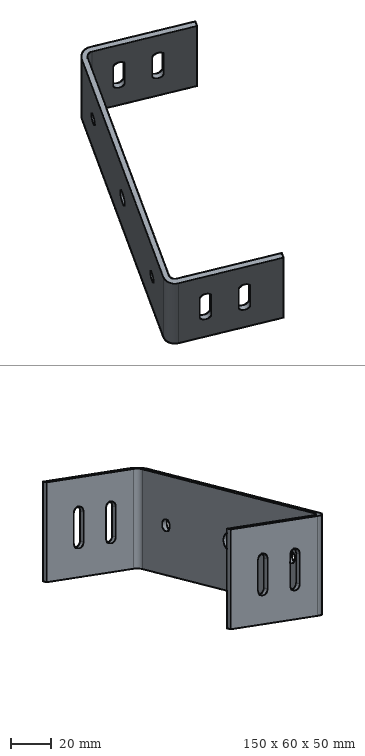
import cadquery as cq

length = 150.0
depth = 60.0
height = length / 3
thickness = 3.0
inner_bend_radius = 3.0
outer_bend_radius = inner_bend_radius + thickness

center_hole_diameter = 8.0
side_hole_diameter = 6.0
side_hole_offset = length / 3

slot_width = 6.0
slot_length = 21.0
slot_pitch = depth / 3
slot_count = 2


def bent_channel():
    """Web on the -Y side with a flange at each end, rounded at the bends."""
    outer = (
        cq.Workplane("XY")
        .box(length, depth, height, centered=(True, False, True))
        .edges("|Z and <Y")
        .fillet(outer_bend_radius)
    )
    inner = (
        cq.Workplane("XY")
        .box(length - 2 * thickness, depth, height, centered=(True, False, True))
        .edges("|Z and <Y")
        .fillet(inner_bend_radius)
        .translate((0, thickness, 0))
    )
    return outer.cut(inner)


def web_hole(x, diameter):
    """Cutter along Y through the web only."""
    return cq.Workplane("XZ").center(x, 0).circle(diameter / 2).extrude(-outer_bend_radius)


def flange_slots():
    """Cutter along X through both flanges."""
    positions = [((i + 1) * slot_pitch, 0) for i in range(slot_count)]
    return (
        cq.Workplane("YZ")
        .pushPoints(positions)
        .slot2D(slot_length, slot_width, angle=90)
        .extrude(length, both=True)
    )


result = bent_channel().cut(flange_slots())
result = result.cut(web_hole(0, center_hole_diameter))
for x in (-side_hole_offset, side_hole_offset):
    result = result.cut(web_hole(x, side_hole_diameter))